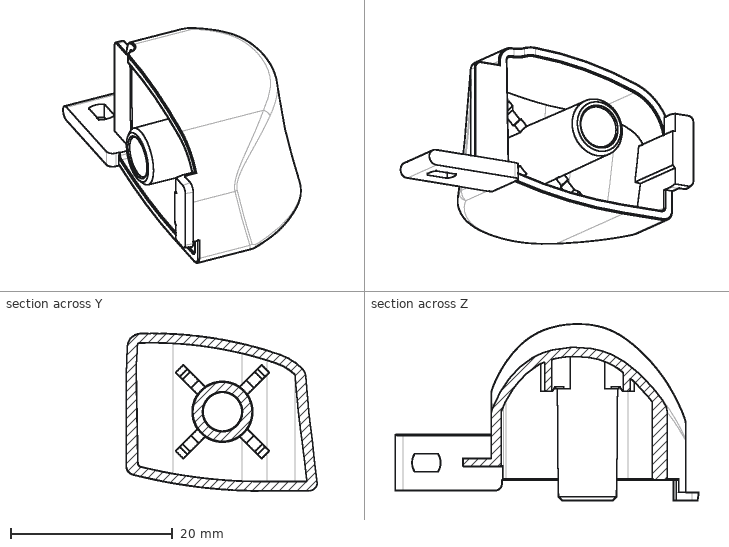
import cadquery as cq
import math


wall = 1.2
rim_chamfer = 0.15
left_x = -11.93
right_x = 12.18
top_z = 9.72
bottom_z = -9.83
roof_radius = 49.0
roof_apex_x = -8.7
shoulder_radius = 7.6
floor_radius = 65.0
floor_apex_x = 5.0
roof_corner_radius = 1.95
floor_left_radius = 1.15
floor_right_radius = 1.3
inner_corner_radius = 0.45
inner_left_lean = 0.28

dome_curve = [
    (-12.5, 9.0),
    (-11.65, 12.05),
    (-9.8, 15.3),
    (-6.74, 18.05),
    (-1.9, 19.3),
    (2.89, 18.45),
    (6.29, 16.12),
    (9.97, 11.75),
    (12.9, 4.6),
]
dome_shifts = [(-11.0, 0.57), (-6.6, -0.4), (-2.05, -1.55), (2.0, -2.32), (11.0, -4.0)]
dome_front_y = -6.0
dome_edge_radius = 1.0
hood_depth = 25.0

tube_tip_radius = 3.62
tube_root_radius = 3.78
tube_root_y = 18.0
tube_tip_y = -2.52
tube_chamfer = 0.47
bore_tip_radius = 2.55
bore_root_radius = 2.38
bore_chamfer = 0.17
rib_angles = (45, 135, 225, 315)
rib_width = 1.34
rib_end_radius = 7.53
rib_post_radius = 6.81
rib_seat_radius = 6.32
rib_step_radius = 4.84
rib_post_y = 11.0
rib_seat_y = 11.6
rib_step_y = 11.3

tray_left_x = -23.82
tray_right_x = -10.57
tray_bottom_z = -7.95
tray_thickness = 1.95
tray_front_y = -1.3
tray_back_y = 5.72
tray_back_draft = 0.22
tray_corner_radius = 0.9
slot_center = (-19.95, 2.16)
slot_length = 3.5
slot_width = 2.17
slot_end_bulge = 0.3

left_tab_x = -15.42
left_tab_top_z = 7.25
left_tab_front_y = 1.67
left_tab_thickness = 1.02
left_tab_corner_radius = 0.85
left_tab_chamfer = 0.1
setback_start_x = -9.8
setback_end_x = -7.75

arm_bottom_z = -5.92
arm_top_z = 3.43
right_tab_x = 13.8
right_tab_back_y = -1.5
right_tab_thickness = right_tab_back_y - tube_tip_y
right_tab_corner_radius = 0.9
right_tab_draft = 8.0
pad_x = 10.65
pad_bottom_z = -3.4
pad_top_z = 1.0
pad_back_y = 6.5

tray_top_z = tray_bottom_z + tray_thickness


def box(x0, x1, y0, y1, z0, z1):
    return cq.Workplane("XY").box(x1 - x0, y1 - y0, z1 - z0, centered=False).translate((x0, y0, z0))


def prism_y(profile, y0, y1):
    """Extrude a profile drawn on the XZ plane from y0 to y1."""
    return profile.extrude(-(y1 - y0)).translate((0, y0, 0))


def arc_z(center_x, center_z, radius, x, side):
    """Height of a circle at x; side is +1 for its upper half and -1 for its lower half."""
    return center_z + side * math.sqrt(radius ** 2 - (x - center_x) ** 2)


def hood_outline(inset, lean):
    """Closed outline of the hood, moved inwards by inset."""
    roof_z = top_z - roof_radius
    roof_r = roof_radius - inset
    shoulder_r = shoulder_radius - inset
    shoulder_x = right_x - shoulder_radius
    spread = roof_radius - shoulder_radius
    shoulder_z = roof_z + math.sqrt(spread ** 2 - (shoulder_x - roof_apex_x) ** 2)
    tangent = math.atan2(shoulder_z - roof_z, shoulder_x - roof_apex_x)

    floor_z = bottom_z + floor_radius
    floor_r = floor_radius - inset
    x0 = left_x + inset
    x1 = right_x - inset
    floor_mid_x = (x0 + floor_apex_x) / 2
    roof_end = (shoulder_x + shoulder_r * math.cos(tangent), shoulder_z + shoulder_r * math.sin(tangent))
    shoulder_mid = (
        shoulder_x + shoulder_r * math.cos(tangent / 2),
        shoulder_z + shoulder_r * math.sin(tangent / 2),
    )
    return (
        cq.Workplane("XZ")
        .moveTo(x0 + lean, arc_z(floor_apex_x, floor_z, floor_r, x0 + lean, -1))
        .threePointArc(
            (floor_mid_x, arc_z(floor_apex_x, floor_z, floor_r, floor_mid_x, -1)),
            (floor_apex_x, bottom_z + inset),
        )
        .lineTo(x1, bottom_z + inset)
        .lineTo(x1, shoulder_z)
        .threePointArc(shoulder_mid, roof_end)
        .threePointArc(
            (roof_apex_x, top_z - inset),
            (x0, arc_z(roof_apex_x, roof_z, roof_r, x0, 1)),
        )
        .close()
    )


def hood_prism(inset, lean, y0, y1, radii):
    """Hood outline extruded along Y; radii round the roof, left floor and right floor corners."""
    prism = prism_y(hood_outline(inset, lean), y0, y1)
    corners = [
        (left_x + inset, top_z - inset),
        (left_x + inset + lean, tray_bottom_z + inset),
        (right_x - inset, bottom_z + inset),
    ]
    for (x, z), radius in zip(corners, radii):
        nearest = cq.selectors.NearestToPointSelector((x, (y0 + y1) / 2, z))
        prism = prism.edges("|Y").edges(nearest).fillet(radius)
    return prism


def dome_wire(inset, height, shift):
    wire = (
        cq.Workplane("XY")
        .spline(dome_curve)
        .lineTo(dome_curve[-1][0], dome_front_y)
        .lineTo(dome_curve[0][0], dome_front_y)
        .close()
    )
    if inset:
        wire = wire.offset2D(-inset)
    return wire.val().translate(cq.Vector(0, shift, height))


def dome(inset):
    sections = [dome_wire(inset, height, shift) for height, shift in dome_shifts]
    return cq.Workplane(obj=cq.Solid.makeLoft(sections))


def solid_hood():
    """Outer shape of the hood, filled in and carried forward to the tip of the tube."""
    radii = (roof_corner_radius, floor_left_radius, floor_right_radius)
    body = hood_prism(0, 0, tube_tip_y, hood_depth, radii).intersect(dome(0))
    dome_face = body.faces("%BSPLINE").val()
    return cq.Workplane(obj=body.val().fillet(dome_edge_radius, dome_face.Edges()))


def cavity():
    radii = (inner_corner_radius,) * 3
    return hood_prism(wall, inner_left_lean, 2 * tube_tip_y, hood_depth, radii).intersect(dome(wall))


def setback():
    """Space in front of the set-back left rim, ending in an S-shaped run up to the main rim."""
    outside_x = left_x - wall
    middle = ((setback_start_x + setback_end_x) / 2, left_tab_front_y / 2)
    return (
        cq.Workplane("XY", origin=(0, 0, tray_top_z))
        .moveTo(outside_x, left_tab_front_y)
        .lineTo(setback_start_x, left_tab_front_y)
        .tangentArcPoint(middle, relative=False)
        .tangentArcPoint((setback_end_x, 0), relative=False)
        .lineTo(setback_end_x, tube_tip_y)
        .lineTo(outside_x, tube_tip_y)
        .close()
        .extrude(top_z - tray_top_z)
    )


def rimmed_hood(shell):
    """Hollow hood cut to its rim, with the inner and outer rim edges broken.

    Each rim edge is one smooth chain, so its straight run on the right wall leads to all of it.
    """
    body = shell.intersect(box(left_x, right_x, 0, hood_depth, bottom_z, top_z)).cut(setback())
    right_wall = cq.selectors.BoxSelector(
        (right_x - 2 * wall, -wall, bottom_z),
        (right_x + wall, wall, top_z),
    )
    return body.faces("<Y").edges("|Z").edges(right_wall).chamfer(rim_chamfer)


def turned(points):
    """Revolve (radius, y) points about the tube axis."""
    return cq.Workplane("XY").polyline(points).close().revolve(360, (0, 0, 0), (0, 1, 0))


def tube():
    return turned([
        (0, tube_tip_y),
        (tube_tip_radius - tube_chamfer, tube_tip_y),
        (tube_tip_radius, tube_tip_y + tube_chamfer),
        (tube_root_radius, tube_root_y),
        (0, tube_root_y),
    ])


def bore():
    """Tapered bore that runs through to the inner face of the dome."""
    return turned([
        (0, tube_tip_y),
        (bore_tip_radius + bore_chamfer, tube_tip_y),
        (bore_tip_radius, tube_tip_y + bore_chamfer),
        (bore_root_radius, tube_root_y),
        (0, tube_root_y),
    ])


def rib(angle):
    """Radial rib with a raised post at its outer end, the seat beside it and a step by the tube."""
    profile = [
        (tube_tip_radius / 2, tube_root_y),
        (tube_tip_radius / 2, rib_step_y),
        (rib_step_radius, rib_step_y),
        (rib_step_radius, rib_seat_y),
        (rib_seat_radius, rib_seat_y),
        (rib_post_radius, rib_post_y),
        (rib_end_radius, rib_post_y),
        (rib_end_radius, tube_root_y),
    ]
    blank = cq.Workplane("XY").polyline(profile).close().extrude(rib_width / 2, both=True)
    return blank.rotate((0, 0, 0), (0, 1, 0), angle)


def tray():
    middle_z = tray_bottom_z + tray_thickness / 2
    end_radius = tray_thickness / 2
    profile = (
        cq.Workplane("XZ")
        .moveTo(tray_right_x, tray_bottom_z)
        .lineTo(tray_left_x + end_radius, tray_bottom_z)
        .threePointArc((tray_left_x, middle_z), (tray_left_x + end_radius, tray_top_z))
        .lineTo(tray_right_x, tray_top_z)
        .close()
    )
    body = prism_y(profile, tray_front_y, tray_back_y)
    body = body.edges("|Z").edges(">X and <Y").fillet(tray_corner_radius)
    back_wedge = (
        cq.Workplane("YZ", origin=(tray_left_x, 0, 0))
        .moveTo(tray_back_y, tray_bottom_z)
        .lineTo(tray_back_y, tray_top_z)
        .lineTo(tray_back_y - tray_back_draft, tray_top_z)
        .close()
        .extrude(tray_right_x - tray_left_x)
    )
    return body.cut(back_wedge).cut(tray_slot())


def tray_slot():
    """Slot with straight long sides and bulged ends."""
    x, y = slot_center
    half_length = slot_length / 2
    half_width = slot_width / 2
    shoulder = half_length - slot_end_bulge
    return (
        cq.Workplane("XY", origin=(0, 0, tray_bottom_z))
        .moveTo(x - shoulder, y - half_width)
        .lineTo(x + shoulder, y - half_width)
        .threePointArc((x + half_length, y), (x + shoulder, y + half_width))
        .lineTo(x - shoulder, y + half_width)
        .threePointArc((x - half_length, y), (x - shoulder, y - half_width))
        .close()
        .extrude(tray_thickness)
    )


def left_tab():
    back_y = left_tab_front_y + left_tab_thickness
    foot_z = tray_bottom_z + tray_thickness / 2
    plate = box(left_tab_x, left_x + wall / 2, left_tab_front_y, back_y, foot_z, left_tab_top_z)
    plate = plate.edges("|Y").edges("<X and >Z").fillet(left_tab_corner_radius)
    return plate.faces("<Y").edges("<X").chamfer(left_tab_chamfer)


def right_tab():
    """Plate across the tip of the right arm, drafted towards its front face."""
    inner_x = right_x - wall
    centre_z = (arm_bottom_z + arm_top_z) / 2
    height = arm_top_z - arm_bottom_z
    half_width = right_tab_x - inner_x
    plate = (
        cq.Workplane("XZ", origin=(inner_x, right_tab_back_y, centre_z))
        .sketch()
        .rect(2 * half_width, height)
        .vertices(">X")
        .fillet(right_tab_corner_radius)
        .finalize()
        .extrude(right_tab_thickness, taper=right_tab_draft)
    )
    return plate.intersect(box(inner_x, right_tab_x, tube_tip_y, right_tab_back_y, arm_bottom_z, arm_top_z))


def guide_pad():
    """Raised pad on the inside of the right wall, running out onto the arm."""
    wall_x = right_x - wall / 2
    run = wall_x - pad_x
    profile = (
        cq.Workplane("XZ")
        .moveTo(wall_x, pad_bottom_z - run)
        .lineTo(pad_x, pad_bottom_z)
        .lineTo(pad_x, pad_top_z)
        .lineTo(wall_x, pad_top_z)
        .close()
    )
    return prism_y(profile, tube_tip_y, pad_back_y)


outer = solid_hood()
inner = cavity()
shell = outer.cut(inner)

hood = rimmed_hood(shell)
arm = shell.intersect(box(right_x - wall, right_x, right_tab_back_y, rim_chamfer, arm_bottom_z, arm_top_z))

seat = tube()
for rib_angle in rib_angles:
    seat = seat.union(rib(rib_angle))
seat = seat.intersect(outer)

result = hood
for feature in (arm, seat, tray(), left_tab(), right_tab(), guide_pad()):
    result = result.union(feature)
result = result.cut(bore().intersect(inner))